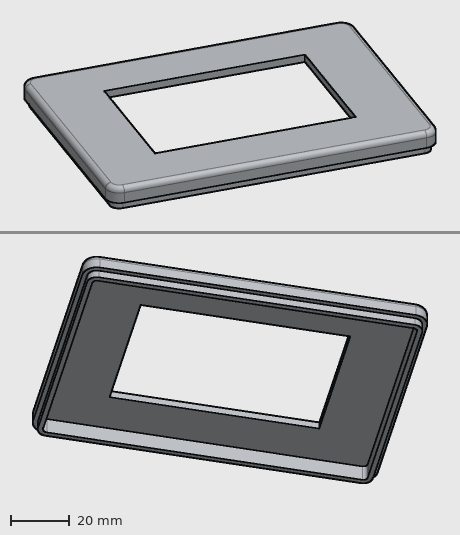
import cadquery as cq

length = 120.0
width = 86.0
height = 9.0
corner_radius = 5.0
edge_radius = 2.0

lip_height = 3.0
lip_inset = 1.7

window_width = 48.0
window_length = 73.0
face_thickness = 2.9
lip_wall = 1.8


def rounded_block(inset, bottom, top):
    """Block with rounded vertical corners, set in from the outer edge."""
    return (
        cq.Workplane("XY")
        .workplane(offset=bottom)
        .rect(width - 2 * inset, length - 2 * inset)
        .extrude(top - bottom)
        .edges("|Z")
        .fillet(corner_radius - inset)
    )


cover = rounded_block(0, lip_height, height).faces(">Z").edges().fillet(edge_radius)
lip = rounded_block(lip_inset, 0, lip_height)
hollow = rounded_block(lip_inset + lip_wall, 0, height - face_thickness)
window = (
    cq.Workplane("XY")
    .rect(window_width, window_length)
    .extrude(height)
)

result = cover.union(lip).cut(hollow).cut(window)